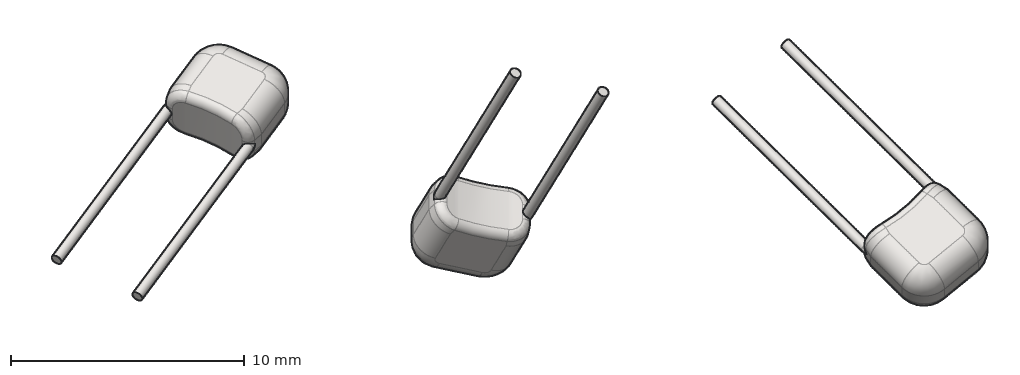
import cadquery as cq
import math

body_width = 4.55
body_height = 2.75
back_corner_radius = 1.3
edge_radius = 1.0
straight_depth = 3.28
front_depth = 3.77
front_radius = 7.22
front_width = 4.2
front_edge_radius = 0.37

overall_length = 13.37
lead_diameter = 0.5
lead_pitch = 4.0
bend_radius = 0.45
bend_depth = 3.9

front_corner_x = front_width / 2
front_sag = front_radius - math.sqrt(front_radius**2 - front_corner_x**2)
front_corner_y = -front_depth - front_sag
sides = (-1, 1)


def make_block():
    """Plain block: straight sides, then a taper down to the concave front."""
    half_width = body_width / 2
    return (
        cq.Workplane("XY", origin=(0, 0, -body_height / 2))
        .moveTo(-half_width, 0)
        .lineTo(half_width, 0)
        .lineTo(half_width, -straight_depth)
        .lineTo(front_corner_x, front_corner_y)
        .threePointArc((0, -front_depth), (-front_corner_x, front_corner_y))
        .lineTo(-half_width, -straight_depth)
        .close()
        .extrude(body_height)
    )


def make_body():
    """Block with rounded back corners, sides and front rim."""
    block = make_block().edges("|Z and >Y").fillet(back_corner_radius)
    front_arcs = block.faces("|Z").edges("<Y").vals()
    rims = [edge for edge in block.faces("|Z").edges().vals() if edge not in front_arcs]
    block = block.newObject(rims).fillet(edge_radius)
    front_face = block.faces(cq.selectors.NearestToPointSelector((0, -front_depth, 0)))
    return front_face.edges().fillet(front_edge_radius)


def make_lead(side):
    """Round wire: a straight leg along -Y with a quarter bend inward at its root."""
    lead_x = side * lead_pitch / 2
    bend_center_x = lead_x - side * bend_radius
    diagonal = bend_radius * math.sqrt(0.5)
    path = (
        cq.Workplane("XY")
        .moveTo(lead_x, -overall_length)
        .lineTo(lead_x, -bend_depth)
        .threePointArc(
            (bend_center_x + side * diagonal, -bend_depth + diagonal),
            (bend_center_x, -bend_depth + bend_radius),
        )
    )
    tip = cq.Workplane("XZ", origin=(lead_x, -overall_length, 0))
    return tip.circle(lead_diameter / 2).sweep(path)


body = make_body()
leads = [make_lead(side) for side in sides]
for lead in leads:
    body = body.cut(lead)

result = cq.Compound.makeCompound([body.val(), *[lead.val() for lead in leads]])